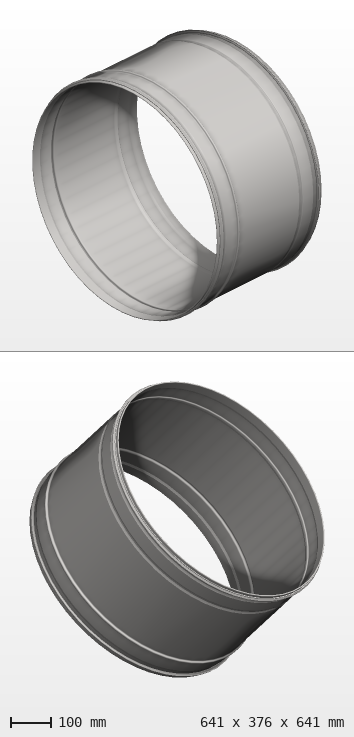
import cadquery as cq
import math

length = 376.0
half_length = length / 2
wall = 0.95
body_radius = 630.0 / 2
neck_radius = 625.0 / 2
neck_step_start = 25.0
neck_step_end = 31.5

hem_length = 8.5
fold_radius = (body_radius - (neck_radius - wall)) / 2
slot_radius = fold_radius - wall
fold_center = (neck_radius + body_radius - wall) / 2

bead_start = 66.5
bead_width = 13.5
bead_radius = 639.5 / 2

groove_radius = 625.5 / 2
groove_start = 66.5
groove_drop_end = 72.0
groove_slope_start = 75.5
groove_end = 82.0

lip_tip_radius = 641 / 2
lip_tip_start = 14.0
seal_end = 16.0
collar_radius = 634 / 2
collar_end = 10.0


def turned(profile):
    return profile.close().revolve(360, (0, 0, 0), (0, 1, 0))


def add_s_curve(profile, low, high, depth, rising):
    """Append two equal tangent arcs joining the (radius, y) points low and high.

    depth is the distance below the outer face, so both faces share arc centres.
    """
    rise = high[0] - low[0]
    run = high[1] - low[1]
    arc_radius = (rise**2 + run**2) / (4 * rise)
    half_sweep = math.atan2(rise, abs(run))
    side = math.copysign(1, run)

    def flare_point(angle):
        radius = arc_radius + depth
        return (low[0] + arc_radius - radius * math.cos(angle), low[1] + side * radius * math.sin(angle))

    def crown_point(angle):
        radius = arc_radius - depth
        return (high[0] - arc_radius + radius * math.cos(angle), high[1] - side * radius * math.sin(angle))

    joint = flare_point(2 * half_sweep)
    if rising:
        profile = profile.threePointArc(flare_point(half_sweep), joint)
        return profile.threePointArc(crown_point(half_sweep), crown_point(0))
    profile = profile.threePointArc(crown_point(half_sweep), joint)
    return profile.threePointArc(flare_point(half_sweep), flare_point(0))


def sleeve_blank(depth):
    """Solid of revolution under the sleeve face that lies depth below the outer face."""
    front = -half_length
    back = half_length
    neck = neck_radius - depth
    body = body_radius - depth
    bead_foot = (body_radius, front + bead_start)
    bead_top = (bead_radius, front + bead_start + bead_width / 2)
    bead_far_foot = (body_radius, front + bead_start + bead_width)
    groove_floor = (groove_radius, back - groove_drop_end)
    groove_edge = (body_radius, back - groove_start)

    profile = (
        cq.Workplane("XY")
        .moveTo(0, front + fold_radius)
        .lineTo(neck, front + fold_radius)
        .lineTo(neck, front + neck_step_start)
        .lineTo(body, front + neck_step_end)
        .lineTo(body, bead_foot[1])
    )
    profile = add_s_curve(profile, bead_foot, bead_top, depth, rising=True)
    profile = add_s_curve(profile, bead_far_foot, bead_top, depth, rising=False)
    profile = (
        profile.lineTo(body, back - groove_end)
        .lineTo(groove_radius - depth, back - groove_slope_start)
        .lineTo(groove_radius - depth, groove_floor[1])
    )
    profile = add_s_curve(profile, groove_floor, groove_edge, depth, rising=True)
    profile = (
        profile.lineTo(body, back - neck_step_end)
        .lineTo(neck, back - neck_step_start)
        .lineTo(neck, back - fold_radius)
        .lineTo(0, back - fold_radius)
    )
    return turned(profile)


def make_hem(end):
    """Folded rim at the front (end = -1) or back (end = 1)."""
    fold_y = end * (half_length - fold_radius)
    hem_y = end * (half_length - hem_length)
    return turned(
        cq.Workplane("XY")
        .moveTo(neck_radius - wall, fold_y)
        .threePointArc((fold_center, fold_y + end * fold_radius), (body_radius, fold_y))
        .lineTo(body_radius, hem_y)
        .lineTo(body_radius - wall, hem_y)
        .lineTo(body_radius - wall, fold_y)
        .threePointArc((fold_center, fold_y + end * slot_radius), (neck_radius, fold_y))
    )


def make_sleeve():
    sleeve = sleeve_blank(0).cut(sleeve_blank(wall))
    for end in (-1, 1):
        sleeve = sleeve.union(make_hem(end))
    return sleeve


def make_seal(end):
    """Lip seal whose foot fills the hem, with a collar and a lip that flares away from the end."""
    fold_y = end * (half_length - fold_radius)
    hem_y = end * (half_length - hem_length)
    seal_y = end * (half_length - seal_end)
    collar_y = end * (half_length - collar_end)
    tip_y = end * (half_length - lip_tip_start)
    return turned(
        cq.Workplane("XY")
        .moveTo(neck_radius, fold_y)
        .threePointArc((fold_center, fold_y + end * slot_radius), (body_radius - wall, fold_y))
        .lineTo(body_radius - wall, hem_y)
        .lineTo(collar_radius, hem_y)
        .lineTo(collar_radius, collar_y)
        .lineTo(lip_tip_radius, tip_y)
        .lineTo(lip_tip_radius, seal_y)
        .lineTo(collar_radius, tip_y)
        .lineTo(body_radius - wall, seal_y)
        .lineTo(neck_radius, seal_y)
    )


sleeve = make_sleeve()
seals = [make_seal(end) for end in (-1, 1)]
result = cq.Compound.makeCompound([sleeve.val(), *[seal.val() for seal in seals]])